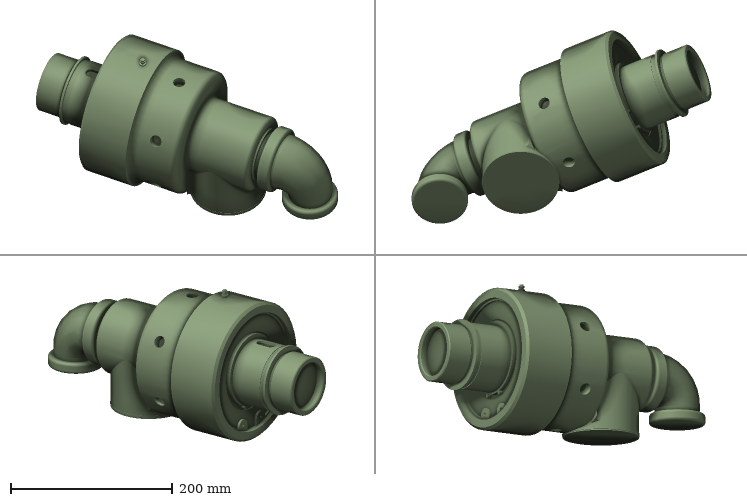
import cadquery as cq
import math


total_length = 393.5

overlap = 4.0

sleeve_d = 75.0
sleeve_end = 32.5
neck_d = 72.5
flange_start = 35.5
flange_end = 38.0
flange_d = 89.0
shoulder_d = 82.0
shoulder_end = 45.2
rotor_d = 83.5
rotor_chamfer = 1.0
bore_d = 60.5
bore_depth = 10.2
bore_chamfer = 1.0
keyway_start = 51.5
keyway_length = 28.0
keyway_width = 13.0
keyway_depth = 4.5

housing_start = 82.0
housing_end = 147.0
housing_d = 178.0
housing_chamfer = 3.0
step_d = 170.7
step_blend_end = 155.8
small_housing_d = 159.5
small_housing_end = 211.2
small_housing_round = 7.5
barrel_d = 96.5
barrel_end = 294.2
barrel_round = 4.7
barrel_blend = 5.0

radial_hole_d = 15.0
radial_hole_count = 6
radial_hole_x = 179.5
radial_hole_depth = 11.8

recess_d = 152.5
recess_depth = 8.5
ring_inner_d = 147.5
ring_thickness = 3.0
lug_d = 18.0
lug_y = 18.5
lug_z = -67.5
lug_hole_z = -66.0
lug_hole_d = 3.2
seal_recess_d = 100.5
seal_recess_depth = 2.0
plate_x = housing_start + recess_depth
seal_floor_x = plate_x + seal_recess_depth
shaft_ring_d = 93.0
shaft_ring_offset = 2.0
shaft_ring_thickness = 5.0
ear_d = 5.0
ear_y = 13.5
ear_z = -44.0

port_x = 246.2
port_d = 95.0
port_lip_d = 96.0
port_lip_height = 4.7
port_bottom = -82.0
port_chamfer = 1.5
port_blend = 6.5

collar_d = 70.0
collar_end = 296.5
union_neck_d = 60.5
union_neck_end = 299.5
union_groove_d = 60.0
union_ring_start = 303.5
union_ring_end = 320.0
union_ring_d = 82.5
union_ring_round = 3.0
elbow_start = 324.0
elbow_inlet_d = collar_d
elbow_outlet_d = 55.0
elbow_flange_d = 70.0
elbow_flange_top = -39.7
elbow_flange_bottom = -53.5
elbow_flange_round = 3.5
elbow_x = total_length - elbow_flange_d / 2

nipple_x = 129.5
nipple_height = 10.0
nipple_top = housing_d / 2 + nipple_height
nipple_d = 5.0
nipple_base_d = 8.5
nipple_base_z = 91.0
nipple_base_height = 2.0
nipple_head_d = 7.0
nipple_head_z = 94.8
nipple_head_height = 2.5


def rod(diameter, start, end, z=0, y=0):
    """Cylinder along X between two X positions."""
    return (
        cq.Workplane("YZ", origin=(start, y, z))
        .circle(diameter / 2)
        .extrude(end - start)
    )


def post(diameter, bottom, top, x):
    """Vertical cylinder on the plane Y = 0."""
    return (
        cq.Workplane("XY", origin=(x, 0, bottom))
        .circle(diameter / 2)
        .extrude(top - bottom)
    )


def revolved(points):
    """Solid of revolution about the X axis from an (X, radius) outline."""
    return cq.Workplane("XZ").polyline(points).close().revolve(360, (0, 0, 0), (1, 0, 0))


def make_small_housing():
    """Smaller housing that flares in an arc where it leaves the large housing."""
    housing_r = small_housing_d / 2
    housing = (
        cq.Workplane("XZ")
        .moveTo(housing_end, 0)
        .lineTo(small_housing_end, 0)
        .lineTo(small_housing_end, housing_r)
        .lineTo(step_blend_end, housing_r)
        .tangentArcPoint((housing_end, step_d / 2), relative=False)
        .close()
        .revolve(360, (0, 0, 0), (1, 0, 0))
    )
    return housing.faces(">X").edges().fillet(small_housing_round)


def make_barrel():
    barrel = rod(barrel_d, small_housing_end - overlap, barrel_end)
    barrel = barrel.faces(">X").edges().fillet(barrel_round)
    blend_x = small_housing_end + barrel_blend
    blend_r = barrel_d / 2 + barrel_blend
    arc_reach = barrel_blend * math.sqrt(0.5)
    base = (
        cq.Workplane("XZ")
        .moveTo(small_housing_end, 0)
        .lineTo(small_housing_end, blend_r)
        .threePointArc((blend_x - arc_reach, blend_r - arc_reach), (blend_x, barrel_d / 2))
        .lineTo(blend_x, 0)
        .close()
        .revolve(360, (0, 0, 0), (1, 0, 0))
    )
    return barrel.union(base)


def make_port():
    port = post(port_d, port_bottom, 0, port_x)
    lip = post(port_lip_d, port_bottom, port_bottom + port_lip_height, port_x)
    return port.union(lip.faces("<Z").chamfer(port_chamfer))


def make_port_blend():
    """Concave fillets between the port and the rear face of the small housing."""
    port_r = port_d / 2
    center_x = small_housing_end + port_blend
    center_y = math.sqrt((port_r + port_blend) ** 2 - (port_x - center_x) ** 2)
    share = port_r / (port_r + port_blend)
    touch_x = port_x + (center_x - port_x) * share
    touch_y = center_y * share
    angle_wall = math.pi
    angle_port = math.atan2(-center_y, port_x - center_x)
    angle_mid = (angle_wall + angle_port + 2 * math.pi) / 2
    mid_x = center_x + port_blend * math.cos(angle_mid)
    mid_y = center_y + port_blend * math.sin(angle_mid)
    blend = (
        cq.Workplane("XY")
        .moveTo(small_housing_end, 0)
        .lineTo(small_housing_end, center_y)
        .threePointArc((mid_x, mid_y), (touch_x, touch_y))
        .lineTo(port_x, 0)
        .close()
        .extrude(-small_housing_d / 2)
    )
    blend = blend.union(blend.mirror("XZ"))
    return blend.intersect(rod(small_housing_d, small_housing_end, port_x))


def make_body():
    housing = rod(housing_d, housing_start, housing_end)
    housing = housing.faces("<X").chamfer(housing_chamfer)
    return (
        housing.union(make_small_housing())
        .union(make_barrel())
        .union(make_port())
        .union(make_port_blend())
    )


def make_radial_holes():
    hole = post(radial_hole_d, small_housing_d / 2 - radial_hole_depth, housing_d / 2, radial_hole_x)
    holes = cq.Workplane()
    for index in range(radial_hole_count):
        angle = 360 / radial_hole_count * index
        holes = holes.add(hole.rotate((0, 0, 0), (1, 0, 0), angle))
    return holes.combine()


def make_rotor():
    tip = rod(sleeve_d, 0, sleeve_end)
    tip = tip.edges().chamfer(rotor_chamfer)
    rotor_back = seal_floor_x + overlap
    rotor = (
        tip.union(rod(neck_d, sleeve_end - overlap, flange_start))
        .union(rod(flange_d, flange_start, flange_end))
        .union(rod(shoulder_d, flange_end, shoulder_end))
        .union(rod(rotor_d, shoulder_end, rotor_back))
    )
    bore_outline = [
        (0, 0),
        (0, bore_d / 2 + bore_chamfer),
        (bore_chamfer, bore_d / 2),
        (bore_depth, bore_d / 2),
        (bore_depth, 0),
    ]
    keyway = (
        cq.Workplane("XY", origin=(keyway_start + keyway_length / 2, 0, rotor_d / 2 - keyway_depth))
        .slot2D(keyway_length, keyway_width)
        .extrude(2 * keyway_depth)
    )
    return rotor.cut(revolved(bore_outline)).cut(keyway)


def make_housing_ring():
    """Internal retaining ring with two pierced lugs, seated on the cover plate."""
    front_x = plate_x - ring_thickness
    recess = rod(recess_d, front_x, plate_x)
    ring = recess.cut(rod(ring_inner_d, front_x, plate_x))
    gap_width = 2 * lug_y - lug_d
    gap = (
        cq.Workplane("YZ", origin=(front_x, 0, lug_z))
        .rect(gap_width, recess_d / 2)
        .extrude(ring_thickness)
    )
    ring = ring.cut(gap)
    for y in (-lug_y, lug_y):
        root = (
            cq.Workplane("YZ", origin=(front_x, y, lug_z - lug_d / 2))
            .rect(lug_d, lug_d)
            .extrude(ring_thickness)
        )
        lug = rod(lug_d, front_x, plate_x, lug_z, y).union(root).intersect(recess)
        ring = ring.union(lug)
    for y in (-lug_y, lug_y):
        ring = ring.cut(rod(lug_hole_d, front_x, plate_x, lug_hole_z, y))
    return ring


def make_shaft_ring():
    """Eccentric snap ring on the rotor, thickest on top, with two ears below."""
    front_x = seal_floor_x - shaft_ring_thickness
    ring = rod(shaft_ring_d, front_x, seal_floor_x, shaft_ring_offset)
    for y in (-ear_y, ear_y):
        ring = ring.union(rod(ear_d, front_x, seal_floor_x, ear_z, y))
    return ring


def make_union():
    """Threaded union between the barrel and the elbow."""
    ring = rod(union_ring_d, union_ring_start, union_ring_end).edges().fillet(union_ring_round)
    return (
        rod(collar_d, barrel_end - overlap, collar_end)
        .union(rod(union_neck_d, collar_end, union_neck_end))
        .union(rod(union_groove_d, union_neck_end, union_ring_start + overlap))
        .union(ring)
        .union(rod(collar_d, union_ring_end - overlap, elbow_start))
    )


def make_elbow():
    """Tapered quarter bend with a rounded flange at its lower end."""
    run = elbow_x - elbow_start
    path = (
        cq.Workplane("XZ", origin=(elbow_start, 0, 0))
        .radiusArc((run, -run), run)
        .lineTo(run, elbow_flange_top)
    )
    inlet_plane = cq.Plane((elbow_start, 0, 0), (0, 1, 0), (1, 0, 0))
    outlet_plane = cq.Plane((elbow_x, 0, elbow_flange_top), (0, 1, 0), (0, 0, -1))
    inlet = cq.Workplane(inlet_plane).circle(elbow_inlet_d / 2)
    outlet = cq.Workplane(outlet_plane).circle(elbow_outlet_d / 2)
    wires = [inlet.wires().val(), outlet.wires().val()]
    bend = cq.Workplane(cq.Solid.sweep_multi(wires, path.wire().val()))
    flange = post(elbow_flange_d, elbow_flange_bottom, elbow_flange_top, elbow_x)
    return bend.union(flange.edges().fillet(elbow_flange_round))


def make_nipple():
    base_top = nipple_base_z + nipple_base_height
    head_top = nipple_head_z + nipple_head_height
    return (
        post(nipple_d, housing_d / 2 - overlap, nipple_top, nipple_x)
        .union(post(nipple_base_d, nipple_base_z, base_top, nipple_x))
        .union(post(nipple_head_d, nipple_head_z, head_top, nipple_x))
    )


front_recess = rod(recess_d, housing_start, plate_x)
seal_recess = rod(seal_recess_d, plate_x, seal_floor_x)

result = (
    make_body()
    .cut(front_recess)
    .cut(seal_recess)
    .cut(make_radial_holes())
    .union(make_rotor())
    .union(make_housing_ring())
    .union(make_shaft_ring())
    .union(make_union())
    .union(make_elbow())
    .union(make_nipple())
)